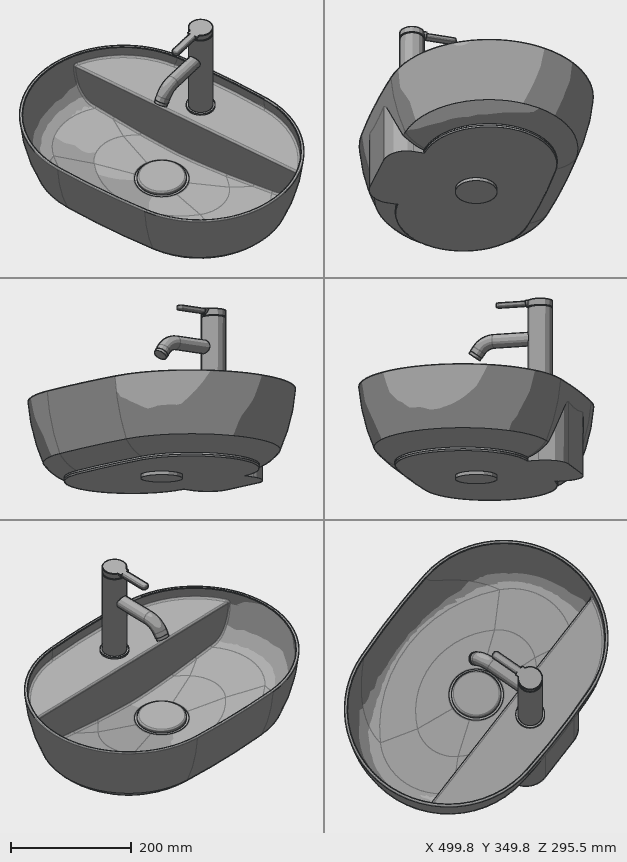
import cadquery as cq
import math

BASIN_LENGTH = 500.0
BASIN_WIDTH = 350.0
RIM_Z = 134.0
END_RADIUS = 172.5

HALF_LENGTH = BASIN_LENGTH / 2
HALF_WIDTH = BASIN_WIDTH / 2

RIM_EDGE_RADIUS = 1.0
SIDE_MIDDLE = (9.5, 77.0)
SIDE_BOTTOM = (25.5, 31.0)
TURN_MIDDLE = (38.5, 17.5)
FOOT_INSET = 59.5
FOOT_HEIGHT = 6.0
FOOT_BEVEL_HEIGHT = 3.0
FOOT_BEVEL_INSET = 1.0
CORE_INSET = 100.0

DRAIN_RIM_RADIUS = 45.0
FLOOR_Z = 33.0
FLOOR_CENTER = (46.5, 46.0, 45.0, FLOOR_Z)
FLOOR_MIDDLE = (123.5, 90.0, 62.5, 40.0)
FLOOR_EDGE = (200.0, 138.5, 100.0, 50.0)
RIM_THICKNESS = 5.5
INNER_WALL_STEPS = 5

DECK_Z = 114.5
DECK_FRONT_TOP_Y = 70.0
DECK_FRONT_SLOPE = 8.0
DECK_FILLET = 3.5
DECK_EDGES_MIN_Y = 50.0
TOLERANCE = 0.5

SUPPORT_WIDTH = 160.0
SUPPORT_TOP_Z = 115.0
SUPPORT_BACK_Y = 171.0
SUPPORT_FRONT_Y = 100.0
SUPPORT_CORNER_RADIUS = 40.0

WASTE_RADIUS = 34.5
WASTE_DROP = 6.0
WASTE_FLANGE_HEIGHT = 2.5
PLUG_RADIUS = 41.0
PLUG_TOP_Z = 39.0
PLUG_EDGE_RADIUS = 3.0

TAP_Y = 110.5
TAP_RADIUS = 20.5
TAP_TOP_Z = 289.5
BASE_RING_RADIUS = 24.0
BASE_RING_HEIGHT = 3.0
CAP_HEIGHT = 12.5
CAP_BOTTOM_Z = TAP_TOP_Z - CAP_HEIGHT
CAP_GAP = 1.5
CAP_NECK_INSET = 1.0
CAP_EDGE_CHAMFER = 1.0

LEVER_TIP_Y = 35.0
LEVER_WIDTH = 13.0
LEVER_HEIGHT = 7.5
LEVER_TIP_RADIUS = 5.0
LEVER_EDGE_RADIUS = 2.0
COLLAR_RADIUS = 9.5
COLLAR_LENGTH = 3.0

SPOUT_RADIUS = 11.5
SPOUT_Z = 225.5
SPOUT_ROOT_Y = TAP_Y - 10.0
SPOUT_BEND_Y = 30.5
SPOUT_BEND_RADIUS = 31.5
SPOUT_BEND = math.radians(55)
SPOUT_TAIL = 8.5
AERATOR_LENGTH = 5.0
AERATOR_RADIUS = 11.0


def oval(half_length, half_width, end_radius, z):
    """Closed outline of four tangent arcs: two ends and two flatter sides."""
    end_center = half_length - end_radius
    side_radius = (end_center**2 + half_width**2 - end_radius**2) / (2 * (half_width - end_radius))
    side_center = side_radius - half_width
    angle = math.atan2(end_center, side_center)
    join_x = side_radius * math.sin(angle)
    join_y = side_radius * math.cos(angle) - side_center
    return (
        cq.Workplane("XY", origin=(0, 0, z))
        .moveTo(join_x, -join_y)
        .threePointArc((half_length, 0), (join_x, join_y))
        .threePointArc((0, half_width), (-join_x, join_y))
        .threePointArc((-half_length, 0), (-join_x, -join_y))
        .threePointArc((0, -half_width), (join_x, -join_y))
        .close()
    )


def cylinder(radius, bottom_z, height, y=0):
    return cq.Workplane("XY", origin=(0, y, bottom_z)).circle(radius).extrude(height)


def inset_oval(inset, z):
    """Rim outline moved inward by a constant distance."""
    return oval(HALF_LENGTH - inset, HALF_WIDTH - inset, END_RADIUS - inset, z)


def loft(sections, ruled):
    wires = [section.wire().val() for section in sections]
    return cq.Workplane(cq.Solid.makeLoft(wires, ruled))


def blend(low, high, share):
    return low + (high - low) * share


def make_outside():
    """Wall profile carried around the rim outline, filled in the middle."""
    path = inset_oval(0, RIM_Z).wire()
    start = path.val().startPoint()
    tangent = path.val().tangentAt(0)
    outward = tangent.cross(cq.Vector(0, 0, 1))
    profile_plane = cq.Plane(origin=(start.x, start.y, 0), xDir=outward, normal=tangent * -1)
    wall = (
        cq.Workplane(profile_plane)
        .moveTo(0, RIM_Z)
        .threePointArc((-SIDE_MIDDLE[0], SIDE_MIDDLE[1]), (-SIDE_BOTTOM[0], SIDE_BOTTOM[1]))
        .threePointArc((-TURN_MIDDLE[0], TURN_MIDDLE[1]), (-FOOT_INSET, FOOT_HEIGHT))
        .lineTo(-FOOT_INSET, FOOT_BEVEL_HEIGHT)
        .lineTo(-FOOT_INSET - FOOT_BEVEL_INSET, 0)
        .lineTo(-CORE_INSET, 0)
        .lineTo(-CORE_INSET, RIM_Z)
        .close()
        .sweep(path)
    )
    core = inset_oval(CORE_INSET, 0).extrude(RIM_Z)
    return wall.union(core)


def make_bowl():
    """Gently sloping floor, and a wall that turns up like a quarter ellipse from its edge."""
    floor = loft([oval(*FLOOR_CENTER), oval(*FLOOR_MIDDLE), oval(*FLOOR_EDGE)], ruled=True)
    rim = (HALF_LENGTH - RIM_THICKNESS, HALF_WIDTH - RIM_THICKNESS, END_RADIUS - RIM_THICKNESS, RIM_Z)
    sections = []
    for step in range(INNER_WALL_STEPS + 1):
        angle = math.radians(90 * step / INNER_WALL_STEPS)
        plan = [blend(low, high, math.sin(angle)) for low, high in zip(FLOOR_EDGE[:3], rim[:3])]
        sections.append(oval(*plan, blend(RIM_Z, FLOOR_EDGE[3], math.cos(angle))))
    return floor.union(loft(sections, ruled=False))


def make_bowl_cavity():
    """Hollow of the basin, with the deck left standing and its edges rounded."""
    front_base_y = DECK_FRONT_TOP_Y - DECK_FRONT_SLOPE * DECK_Z / (DECK_Z - FLOOR_Z)
    deck = (
        cq.Workplane("YZ", origin=(-HALF_LENGTH, 0, 0))
        .moveTo(DECK_FRONT_TOP_Y, DECK_Z)
        .lineTo(HALF_WIDTH, DECK_Z)
        .lineTo(HALF_WIDTH, 0)
        .lineTo(front_base_y, 0)
        .close()
        .extrude(BASIN_LENGTH)
    )
    deck_edges = cq.selectors.BoxSelector(
        (-HALF_LENGTH, DECK_EDGES_MIN_Y, 0),
        (HALF_LENGTH, HALF_WIDTH, DECK_Z + TOLERANCE),
        boundingbox=True,
    )
    return make_bowl().cut(deck).edges(deck_edges).fillet(DECK_FILLET)


def make_support():
    """Block with rounded back corners, running down from the deck to the foot."""
    return (
        cq.Workplane("XY")
        .center(0, (SUPPORT_BACK_Y + SUPPORT_FRONT_Y) / 2)
        .rect(SUPPORT_WIDTH, SUPPORT_BACK_Y - SUPPORT_FRONT_Y)
        .extrude(SUPPORT_TOP_Z)
        .edges("|Z and >Y")
        .fillet(SUPPORT_CORNER_RADIUS)
    )


def make_basin():
    """Hollow ceramic basin with a rounded rim and a seat for the waste."""
    basin = make_outside().union(make_support()).cut(make_bowl_cavity())
    basin = basin.faces(">Z").edges().fillet(RIM_EDGE_RADIUS)
    return basin.cut(make_waste())


def make_waste():
    """Pipe through the basin floor, with a flange level with the floor."""
    flange_bottom_z = FLOOR_Z - WASTE_FLANGE_HEIGHT
    flange = cylinder(DRAIN_RIM_RADIUS, flange_bottom_z, WASTE_FLANGE_HEIGHT)
    return cylinder(WASTE_RADIUS, -WASTE_DROP, flange_bottom_z + WASTE_DROP).union(flange)


def make_plug():
    return cylinder(PLUG_RADIUS, FLOOR_Z, PLUG_TOP_Z - FLOOR_Z).faces(">Z").edges().fillet(PLUG_EDGE_RADIUS)


def make_base_ring():
    ring = cylinder(BASE_RING_RADIUS, DECK_Z, BASE_RING_HEIGHT, TAP_Y)
    return ring.cut(cylinder(TAP_RADIUS, DECK_Z, BASE_RING_HEIGHT, TAP_Y))


def make_column():
    """Upright tap body with a seat for the end of the spout."""
    column = cylinder(TAP_RADIUS, DECK_Z, CAP_BOTTOM_Z - DECK_Z, TAP_Y)
    return column.cut(make_spout())


def make_handle():
    """Round cap on a slightly smaller neck, with the lever reaching forward."""
    neck = cylinder(TAP_RADIUS - CAP_NECK_INSET, CAP_BOTTOM_Z, CAP_GAP, TAP_Y)
    cap_z = CAP_BOTTOM_Z + CAP_GAP
    cap = cylinder(TAP_RADIUS, cap_z, TAP_TOP_Z - cap_z, TAP_Y).faces(">Z").edges().chamfer(CAP_EDGE_CHAMFER)

    lever_length = TAP_Y - LEVER_TIP_Y
    lever = (
        cq.Workplane("XY", origin=(0, TAP_Y - lever_length / 2, TAP_TOP_Z - LEVER_HEIGHT))
        .rect(LEVER_WIDTH, lever_length)
        .extrude(LEVER_HEIGHT)
        .edges("|Z and <Y")
        .fillet(LEVER_TIP_RADIUS)
        .faces("<Z or >Z")
        .edges()
        .fillet(LEVER_EDGE_RADIUS)
    )
    collar = (
        cq.Workplane("XZ", origin=(0, TAP_Y, TAP_TOP_Z))
        .moveTo(-COLLAR_RADIUS, 0)
        .threePointArc((0, -COLLAR_RADIUS), (COLLAR_RADIUS, 0))
        .close()
        .extrude(TAP_RADIUS + COLLAR_LENGTH)
    )
    return neck.union(cap).union(lever).union(collar)


def bend_point(angle):
    """Y and Z of the spout's centre line at an angle along its bend."""
    y = SPOUT_BEND_Y - SPOUT_BEND_RADIUS * math.sin(angle)
    z = SPOUT_Z - SPOUT_BEND_RADIUS * (1 - math.cos(angle))
    return y, z


def spout_tip():
    """Plane across the end of the spout, its normal pointing out of the tip."""
    y, z = bend_point(SPOUT_BEND)
    forward = math.cos(SPOUT_BEND)
    down = math.sin(SPOUT_BEND)
    tip = (0, y - SPOUT_TAIL * forward, z - SPOUT_TAIL * down)
    return cq.Plane(origin=tip, xDir=(1, 0, 0), normal=(0, -forward, -down))


def make_spout():
    """Straight tube leaving the column, bending down to the tip."""
    tip = spout_tip().origin
    path = (
        cq.Workplane("YZ")
        .moveTo(SPOUT_ROOT_Y, SPOUT_Z)
        .lineTo(SPOUT_BEND_Y, SPOUT_Z)
        .threePointArc(bend_point(SPOUT_BEND / 2), bend_point(SPOUT_BEND))
        .lineTo(tip.y, tip.z)
    )
    return cq.Workplane("XZ", origin=(0, SPOUT_ROOT_Y, SPOUT_Z)).circle(SPOUT_RADIUS).sweep(path)


def make_aerator():
    return cq.Workplane(spout_tip()).circle(AERATOR_RADIUS).extrude(AERATOR_LENGTH)


basin = make_basin()
waste = make_waste()
plug = make_plug()
base_ring = make_base_ring()
column = make_column()
handle = make_handle()
spout = make_spout()
aerator = make_aerator()

result = cq.Compound.makeCompound(
    [body.solids().val() for body in (basin, waste, plug, base_ring, column, handle, spout, aerator)]
)